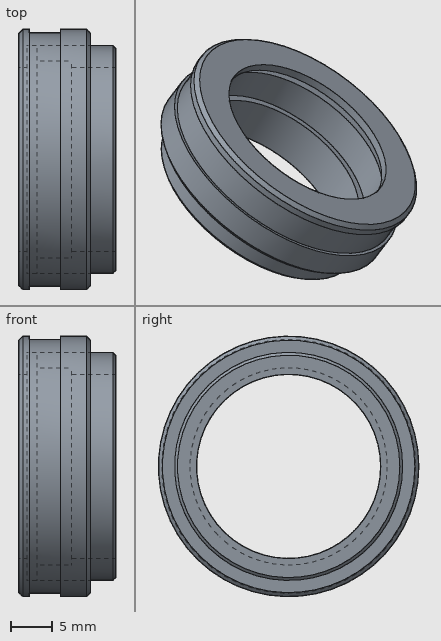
import cadquery as cq


housing_length = 8.75
housing_radius = 15.85
housing_chamfer = 0.5
lip_thickness = 1.0
clear_radius = 11.18

groove_start = 1.3
groove_end = 5.07
groove_depth = 0.4

sleeve_start = 2.25
sleeve_end = 11.81
sleeve_radius = 13.87
sleeve_chamfer = 0.35
counterbore_radius = 12.0
counterbore_end = 6.4


def cylinder(start, end, radius):
    """Solid cylinder on the X axis from X = start to X = end."""
    return cq.Workplane("YZ").workplane(offset=start).circle(radius).extrude(end - start)


def make_housing():
    body = cylinder(0, housing_length, housing_radius).edges().chamfer(housing_chamfer)
    groove = cylinder(groove_start, groove_end, housing_radius).cut(
        cylinder(groove_start, groove_end, housing_radius - groove_depth)
    )
    opening = cylinder(0, lip_thickness, clear_radius)
    sleeve_bore = cylinder(lip_thickness, housing_length, sleeve_radius)
    return body.cut(groove).cut(opening).cut(sleeve_bore)


def make_sleeve():
    body = cylinder(sleeve_start, sleeve_end, sleeve_radius)
    body = body.faces(">X").edges().chamfer(sleeve_chamfer)
    bore = cylinder(sleeve_start, sleeve_end, clear_radius)
    counterbore = cylinder(sleeve_start, counterbore_end, counterbore_radius)
    return body.cut(bore).cut(counterbore)


housing = make_housing()
sleeve = make_sleeve()

result = cq.Compound.makeCompound([housing.val(), sleeve.val()])